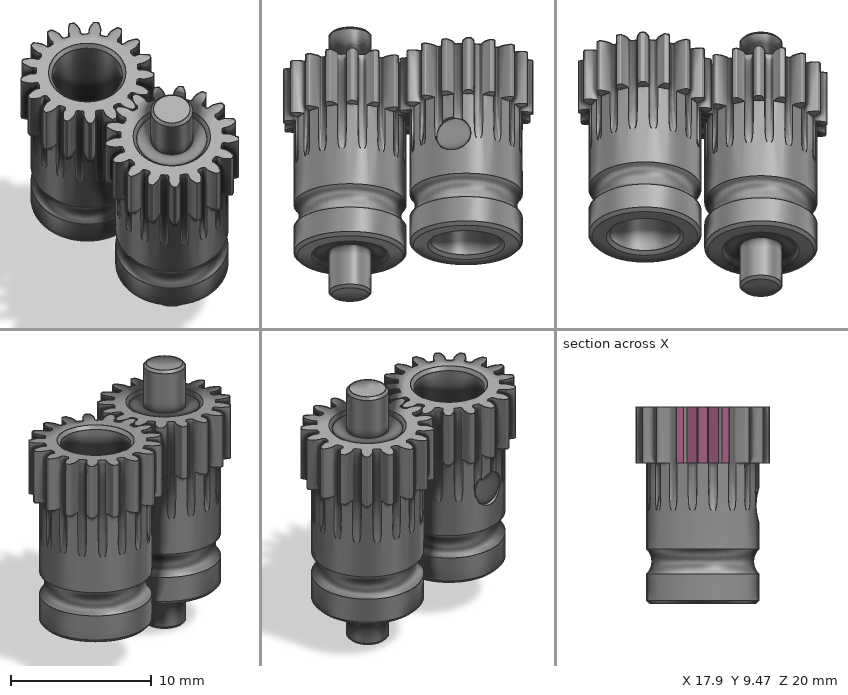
import cadquery as cq
import math

TOOTH_COUNT = 17
MODULE = 0.5
PRESSURE_ANGLE = math.radians(20)
PITCH_RADIUS = TOOTH_COUNT * MODULE / 2
BASE_RADIUS = PITCH_RADIUS * math.cos(PRESSURE_ANGLE)
TIP_RADIUS = PITCH_RADIUS + MODULE
ROOT_RADIUS = PITCH_RADIUS - 1.25 * MODULE
CENTRE_DISTANCE = 2 * PITCH_RADIUS
TOOTH_PITCH_ANGLE = 2 * math.pi / TOOTH_COUNT
FLANK_CLEARANCE = 0.01
ROOT_FILLET = 0.18
TIP_ROUND = 0.12
FLANK_OVERRUN = 0.2
FLANK_STEPS = 6
HOB_RADIUS = 12.5
RUNOUT_ANGLE = 20

SHAFT_LENGTH = 20
GEAR_LENGTH = 14
GEAR_BOTTOM = (SHAFT_LENGTH - GEAR_LENGTH) / 2
GEAR_TOP = GEAR_BOTTOM + GEAR_LENGTH
TOOTH_LENGTH = 4
TOOTH_BOTTOM = GEAR_TOP - TOOTH_LENGTH
RUNOUT_START = TOOTH_BOTTOM - 0.3

HUB_RADIUS = 4
HUB_CHAMFER = 0.25
BORE_RADIUS = 2.5
BORE_CHAMFER = 0.25
GROOVE_HEIGHT = GEAR_BOTTOM + 3
GROOVE_DEPTH = 0.38
GROOVE_RADIUS = 1.25

SCREW_RADIUS = 1.25
SCREW_HEIGHT = SHAFT_LENGTH / 2
SCREW_INNER_END = 1.95
SCREW_LENGTH = 1.75
SCREW_CHAMFER = 0.22

SHAFT_RADIUS = 1.5
SHAFT_CHAMFER = 0.2
BEARING_LENGTH = GEAR_LENGTH / 2 - BORE_CHAMFER


def polar(radius, angle):
    return (radius * math.cos(angle), radius * math.sin(angle))


def mirrored(point):
    return (point[0], -point[1])


def involute(pressure_angle):
    return math.tan(pressure_angle) - pressure_angle


def gap_half_angle(radius):
    """Half the angle spanned by a tooth gap at a radius on the involute."""
    pressure_angle = math.acos(min(1, BASE_RADIUS / radius))
    tooth_half_angle = (
        TOOTH_PITCH_ANGLE / 4 + involute(PRESSURE_ANGLE) - involute(pressure_angle)
        - FLANK_CLEARANCE / PITCH_RADIUS
    )
    return TOOTH_PITCH_ANGLE / 2 - tooth_half_angle


def gap_outline(height):
    """Closed outline of one tooth gap, centred on +X, in the plane at a height."""
    outer_radius = TIP_RADIUS + FLANK_OVERRUN
    step = (outer_radius - BASE_RADIUS) / FLANK_STEPS
    flank = []
    for index in range(FLANK_STEPS + 1):
        radius = BASE_RADIUS + index * step
        flank.append(polar(radius, gap_half_angle(radius)))

    side_angle = gap_half_angle(BASE_RADIUS)
    fillet_centre_radius = ROOT_RADIUS + ROOT_FILLET
    fillet_offset = math.asin(ROOT_FILLET / fillet_centre_radius)
    root_angle = side_angle - fillet_offset
    fillet_centre = polar(fillet_centre_radius, root_angle)
    side_end_radius = fillet_centre_radius * math.cos(fillet_offset)
    side_end = polar(side_end_radius, side_angle)
    root_end = polar(ROOT_RADIUS, root_angle)
    fillet_mid_angle = (side_angle + math.pi / 2 + root_angle + math.pi) / 2
    fillet_arm = polar(ROOT_FILLET, fillet_mid_angle)
    fillet_mid = (fillet_centre[0] + fillet_arm[0], fillet_centre[1] + fillet_arm[1])

    lower_flank = [mirrored(point) for point in reversed(flank)]
    return (
        cq.Workplane("XY", origin=(0, 0, height))
        .moveTo(*side_end)
        .lineTo(*flank[0])
        .spline(flank[1:], includeCurrent=True)
        .lineTo(*lower_flank[0])
        .spline(lower_flank[1:], includeCurrent=True)
        .lineTo(*mirrored(side_end))
        .threePointArc(mirrored(fillet_mid), mirrored(root_end))
        .threePointArc((ROOT_RADIUS, 0), root_end)
        .threePointArc(fillet_mid, side_end)
        .close()
    )


def make_gap_cutters():
    """All tooth gaps: straight along the teeth, then curving out of the hub below."""
    straight = gap_outline(RUNOUT_START).extrude(GEAR_TOP - RUNOUT_START)
    hob_axis = ROOT_RADIUS + HOB_RADIUS
    runout = gap_outline(RUNOUT_START).revolve(RUNOUT_ANGLE, (hob_axis, 0), (hob_axis, -1))
    straight_cutters = []
    runout_cutters = []
    for index in range(TOOTH_COUNT):
        angle = math.degrees((index + 0.5) * TOOTH_PITCH_ANGLE)
        straight_cutters.append(straight.rotate((0, 0, 0), (0, 0, 1), angle).val())
        runout_cutters.append(runout.rotate((0, 0, 0), (0, 0, 1), angle).val())
    return straight_cutters, runout_cutters


def make_blank():
    """Turned blank: chamfered bore, grooved hub and a plain rim for the teeth."""
    groove_half_height = math.sqrt(GROOVE_RADIUS**2 - (GROOVE_RADIUS - GROOVE_DEPTH) ** 2)
    return (
        cq.Workplane("XZ")
        .moveTo(BORE_RADIUS, GEAR_BOTTOM + BORE_CHAMFER)
        .lineTo(BORE_RADIUS + BORE_CHAMFER, GEAR_BOTTOM)
        .lineTo(HUB_RADIUS - HUB_CHAMFER, GEAR_BOTTOM)
        .lineTo(HUB_RADIUS, GEAR_BOTTOM + HUB_CHAMFER)
        .lineTo(HUB_RADIUS, GROOVE_HEIGHT - groove_half_height)
        .threePointArc(
            (HUB_RADIUS - GROOVE_DEPTH, GROOVE_HEIGHT),
            (HUB_RADIUS, GROOVE_HEIGHT + groove_half_height),
        )
        .lineTo(HUB_RADIUS, TOOTH_BOTTOM)
        .lineTo(TIP_RADIUS, TOOTH_BOTTOM)
        .lineTo(TIP_RADIUS, GEAR_TOP)
        .lineTo(BORE_RADIUS + BORE_CHAMFER, GEAR_TOP)
        .lineTo(BORE_RADIUS, GEAR_TOP - BORE_CHAMFER)
        .close()
        .revolve(360, (0, 0), (0, 1))
    )


def round_tips(toothed):
    """Round the two long edges of every tooth tip."""
    tooth_middle = TOOTH_BOTTOM + TOOTH_LENGTH / 2
    tip_edges = []
    for edge in toothed.edges().vals():
        centre = edge.Center()
        at_middle = abs(centre.z - tooth_middle) < TOOTH_LENGTH / 4
        at_tip = math.hypot(centre.x, centre.y) > TIP_RADIUS - TIP_ROUND / 2
        if at_middle and at_tip:
            tip_edges.append(edge)
    return toothed.newObject(tip_edges).fillet(TIP_ROUND)


def make_gear():
    """Toothed hub on the Z axis, with a tooth pointing along +X."""
    blank = make_blank().rotate((0, 0, 0), (0, 0, 1), math.degrees(TOOTH_PITCH_ANGLE / 2))
    straight_cutters, runout_cutters = make_gap_cutters()
    toothed = round_tips(cq.Workplane(blank.val().cut(*straight_cutters)))
    return cq.Workplane(toothed.val().cut(*runout_cutters))


def make_screw():
    """Round plug along +Y whose inner end is chamfered."""
    return (
        cq.Workplane("XZ", origin=(0, SCREW_INNER_END, SCREW_HEIGHT))
        .circle(SCREW_RADIUS)
        .extrude(-SCREW_LENGTH)
        .faces("<Y")
        .chamfer(SCREW_CHAMFER)
    )


def make_screw_hole():
    """Radial hole from the gear axis out through the hub wall on the +Y side."""
    return cq.Workplane("XZ", origin=(0, 0, SCREW_HEIGHT)).circle(SCREW_RADIUS).extrude(-HUB_RADIUS)


def make_shaft():
    """Idler shaft, chamfered at both ends."""
    return (
        cq.Workplane("XY", origin=(CENTRE_DISTANCE, 0, 0))
        .circle(SHAFT_RADIUS)
        .extrude(SHAFT_LENGTH)
        .faces("<Z or >Z")
        .chamfer(SHAFT_CHAMFER)
    )


def make_bearing(bottom):
    """Ring that fills the space between the idler bore and its shaft."""
    return (
        cq.Workplane("XY", origin=(CENTRE_DISTANCE, 0, bottom))
        .circle(BORE_RADIUS)
        .circle(SHAFT_RADIUS)
        .extrude(BEARING_LENGTH)
    )


gear = make_gear()
drive_gear = gear.cut(make_screw_hole())
idler_gear = gear.translate((CENTRE_DISTANCE, 0, 0))
set_screw = make_screw()
shaft = make_shaft()
bearings = []
for bottom in (GEAR_BOTTOM + BORE_CHAMFER, SHAFT_LENGTH / 2):
    bearings.append(make_bearing(bottom).val())

result = cq.Compound.makeCompound(
    [drive_gear.val(), idler_gear.val(), set_screw.val(), shaft.val(), *bearings]
)